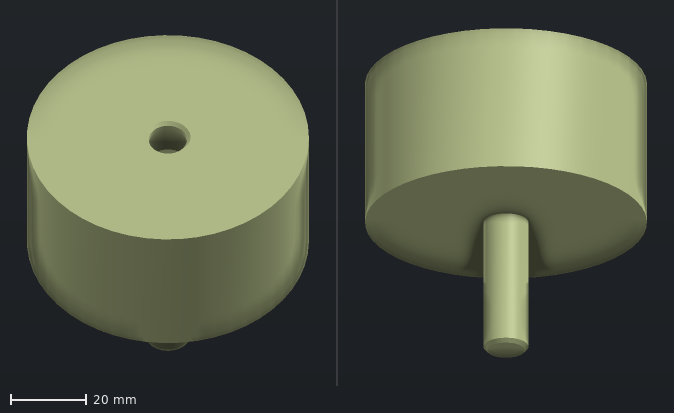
import cadquery as cq

total_height = 77.0
block_diameter = 75.0
block_height = 40.0
stud_length = total_height - block_height

rubber_rim = 1.0
plate_diameter = block_diameter - 2 * rubber_rim
plate_thickness = 2.0

thread_diameter = 12.0
stud_chamfer = 1.0
hole_diameter = 10.2
hole_depth = 10.0
boss_wall = 3.0
boss_floor = 2.0
boss_diameter = thread_diameter + 2 * boss_wall
boss_height = hole_depth + boss_floor


def cylinder(diameter, bottom, height):
    """Solid cylinder on the Z axis, rising from the given bottom level."""
    return cq.Workplane("XY").workplane(offset=bottom).circle(diameter / 2).extrude(height)


def top_insert_blank():
    """Top plate with its central boss, before the hole is made."""
    plate = cylinder(plate_diameter, block_height - plate_thickness, plate_thickness)
    boss = cylinder(boss_diameter, block_height - boss_height, boss_height)
    return plate.union(boss)


def make_top_insert():
    """Top plate and boss with a blind, countersunk hole."""
    hole = cylinder(hole_diameter, block_height - hole_depth, hole_depth)
    countersink_depth = (thread_diameter - hole_diameter) / 2
    countersink = cq.Workplane("XY").add(
        cq.Solid.makeCone(
            hole_diameter / 2,
            thread_diameter / 2,
            countersink_depth,
            pnt=cq.Vector(0, 0, block_height - countersink_depth),
        )
    )
    return top_insert_blank().cut(hole).cut(countersink)


def make_stud_plate():
    """Bottom plate with a stud chamfered at its free end."""
    plate = cylinder(plate_diameter, 0, plate_thickness)
    stud = cylinder(thread_diameter, -stud_length, stud_length)
    stud = stud.faces("<Z").edges().chamfer(stud_chamfer)
    return plate.union(stud)


def make_rubber_block():
    """Rubber cylinder with recesses that match both metal inserts."""
    block = cylinder(block_diameter, 0, block_height)
    bottom_recess = cylinder(plate_diameter, 0, plate_thickness)
    return block.cut(bottom_recess).cut(top_insert_blank())


rubber_block = make_rubber_block()
top_insert = make_top_insert()
stud_plate = make_stud_plate()

result = cq.Compound.makeCompound([rubber_block.val(), top_insert.val(), stud_plate.val()])